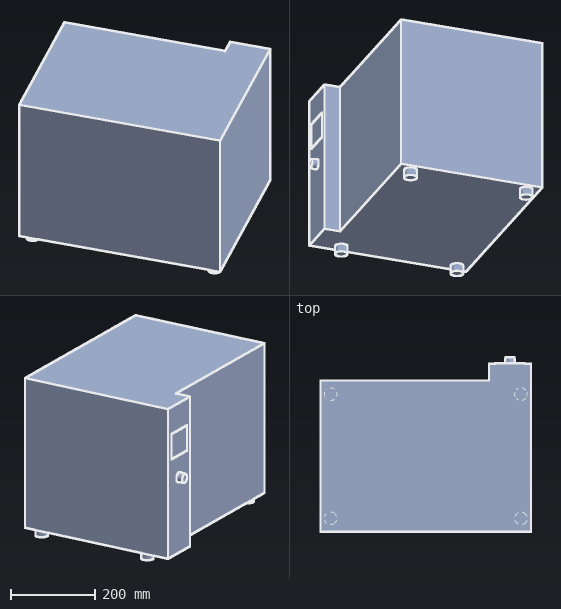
import cadquery as cq

WIDTH = 500.0
MAIN_DEPTH = 360.0
COLUMN_DEPTH = 39.5
COLUMN_WIDTH = 100.0
HEIGHT = 380.0

FOOT_DIAMETER = 30.0
FOOT_HEIGHT = 20.0
FOOT_INSET_X = 24.0
FOOT_FRONT_Y = 32.0
FOOT_SPACING_Y = 295.0

KNOB_BASE_DIAMETER = 25.0
KNOB_TIP_DIAMETER = 22.0
KNOB_LENGTH = 15.5
KNOB_CENTER_Z = 191.5

DISPLAY_WIDTH = 70.0
DISPLAY_HEIGHT = 64.0
DISPLAY_THICKNESS = 1.0
DISPLAY_BOTTOM = 248.0

COLUMN_FACE_Y = MAIN_DEPTH + COLUMN_DEPTH
COLUMN_START_X = WIDTH - COLUMN_WIDTH
COLUMN_CENTER_X = WIDTH - COLUMN_WIDTH / 2



def make_housing():
    """L-shaped plan extruded to the full housing height."""
    return (
        cq.Workplane("XY")
        .moveTo(0, 0)
        .lineTo(WIDTH, 0)
        .lineTo(WIDTH, COLUMN_FACE_Y)
        .lineTo(COLUMN_START_X, COLUMN_FACE_Y)
        .lineTo(COLUMN_START_X, MAIN_DEPTH)
        .lineTo(0, MAIN_DEPTH)
        .close()
        .extrude(HEIGHT)
    )


def make_foot(x, y):
    """Round foot hanging below the housing floor."""
    return cq.Workplane("XY").center(x, y).circle(FOOT_DIAMETER / 2).extrude(-FOOT_HEIGHT)


def make_knob():
    """Tapered knob, revolved about Z and turned to point along +Y."""
    return (
        cq.Workplane("XZ")
        .moveTo(0, 0)
        .lineTo(KNOB_BASE_DIAMETER / 2, 0)
        .lineTo(KNOB_TIP_DIAMETER / 2, KNOB_LENGTH)
        .lineTo(0, KNOB_LENGTH)
        .close()
        .revolve(360, (0, 0), (0, 1))
        .rotate((0, 0, 0), (1, 0, 0), -90)
        .translate((COLUMN_CENTER_X, COLUMN_FACE_Y, KNOB_CENTER_Z))
    )


def make_display():
    """Flat rectangular plate lying on the column face."""
    return (
        cq.Workplane("XY")
        .box(DISPLAY_WIDTH, DISPLAY_THICKNESS, DISPLAY_HEIGHT, centered=(True, False, False))
        .translate((COLUMN_CENTER_X, COLUMN_FACE_Y, DISPLAY_BOTTOM))
    )


housing = make_housing()
knob = make_knob()
display = make_display()

feet = []
for foot_x in (FOOT_INSET_X, WIDTH - FOOT_INSET_X):
    for foot_y in (FOOT_FRONT_Y, FOOT_FRONT_Y + FOOT_SPACING_Y):
        feet.append(make_foot(foot_x, foot_y).val())

result = cq.Compound.makeCompound([housing.val(), knob.val(), display.val(), *feet])